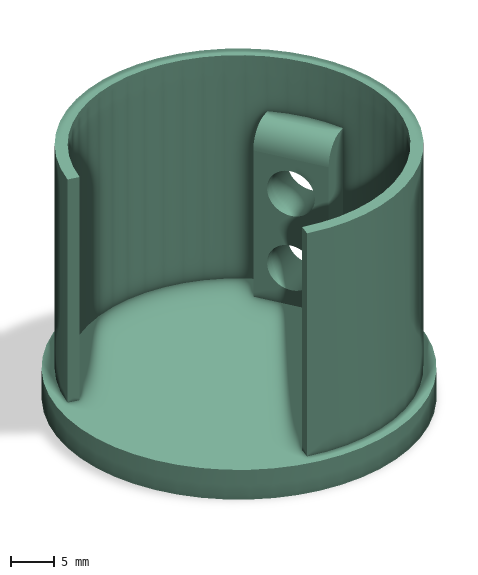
import cadquery as cq
import math

base_diameter = 45.4
base_thickness = 4.0

wall_outer_radius = 21.2
wall_thickness = 1.5
wall_inner_radius = wall_outer_radius - wall_thickness
wall_height = 30.0
opening_angle = 90.0

block_width = 9.45
block_height = 22.65
block_front_y = 15.05
block_fillet = 3.0

hole_diameter = 6.0
lower_hole_height = 5.0
hole_spacing = 10.0


def make_base():
    return cq.Workplane("XY").circle(base_diameter / 2).extrude(base_thickness)


def make_wall():
    ring = (
        cq.Workplane("XY", origin=(0, 0, base_thickness))
        .circle(wall_outer_radius)
        .circle(wall_inner_radius)
        .extrude(wall_height)
    )
    wedge_depth = base_diameter
    wedge_half_width = wedge_depth * math.tan(math.radians(opening_angle / 2))
    wedge = (
        cq.Workplane("XY", origin=(0, 0, base_thickness))
        .polyline([(0, 0), (-wedge_half_width, -wedge_depth), (wedge_half_width, -wedge_depth)])
        .close()
        .extrude(wall_height)
    )
    return ring.cut(wedge)


def make_block():
    block_depth = wall_outer_radius - block_front_y
    block = (
        cq.Workplane("XY", origin=(0, block_front_y, base_thickness))
        .box(block_width, block_depth, block_height, centered=(True, False, False))
        .edges("<Y and >Z")
        .fillet(block_fillet)
    )
    wall_envelope = (
        cq.Workplane("XY", origin=(0, 0, base_thickness))
        .circle(wall_outer_radius)
        .extrude(wall_height)
    )
    return block.intersect(wall_envelope)


def make_holes():
    lower_z = base_thickness + lower_hole_height
    return (
        cq.Workplane("XZ")
        .pushPoints([(0, lower_z), (0, lower_z + hole_spacing)])
        .circle(hole_diameter / 2)
        .extrude(-base_diameter / 2)
    )


result = make_base().union(make_wall()).union(make_block()).cut(make_holes())